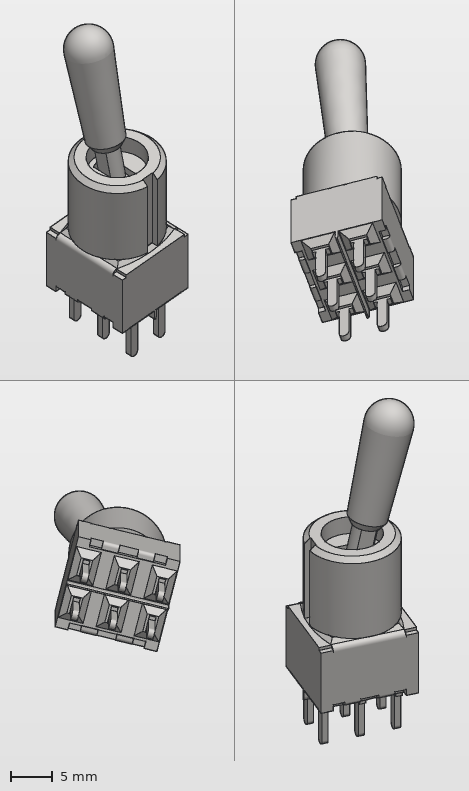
import cadquery as cq
import math

TOTAL_HEIGHT = 44.85

CASE_X = 12.65
CASE_Y = 11.55
CASE_BOTTOM = 6.5
CASE_TOP = 15.48
PANEL_X = 9.45
PANEL_BOTTOM = 7.35
PANEL_TOP_RADIUS = 0.67
RECESS_DEPTH = 0.9
CORNER_STEP_DEPTH = 0.4
CORNER_STEP_Y = 0.67

TAB_X = 2.05
TAB_PITCH = 4.4
TAB_BOTTOM = 6.77
TAB_RADIUS = 0.45

SEAT_CORNER_X = 4.75
SEAT_CORNER_Y = 5.0
SEAT_BULGE_X = 5.55
SEAT_HEIGHT = 0.6
SEAT_TAPER = 45

BUSHING_DIAMETER = 11.85
BUSHING_BOTTOM = CASE_TOP + SEAT_HEIGHT
BUSHING_TOP = 27.3
BUSHING_CHAMFER_HEIGHT = 0.65
BUSHING_CHAMFER_WIDTH = 0.7
BORE_DIAMETER = 7.5
BORE_DEPTH = 2.4
KEYWAY_WIDTH = 1.7
KEYWAY_FLOOR_X = 5.02
SLOT_WIDTH = 2.6
SLOT_LENGTH = 6.05

LEVER_TILT = 12.5
BALL_RADIUS = 3.8
NECK_RADIUS = 1.55
NECK_FLATS = 2.42
KNOB_START = 8.07
KNOB_BEVEL_LENGTH = 1.0
KNOB_BEVEL = 0.65
KNOB_LOW_RADIUS = 2.5
DOME_RADIUS = 3.05
DOME_CENTER = 21.95
PIVOT_Z = TOTAL_HEIGHT - DOME_RADIUS - DOME_CENTER * math.cos(math.radians(LEVER_TILT))

PIN_PITCH_X = 4.7
PIN_PITCH_Y = 4.8
PIN_X = 0.8
PIN_Y = 1.2
SHOULDER_Y = 2.15
SHOULDER_BOTTOM = 5.1
CONE_BOTTOM = 5.55
CONE_TOP_X = 3.1
CONE_TOP_Y = 4.25
CONE_LOW_X = 1.45
CONE_LOW_Y = 2.25

FIN_THICKNESS = 0.35
FIN_BOTTOM = 5.1
FIN_BEVEL_HEIGHT = 0.3
FIN_BEVEL = 0.1


def block(size_x, size_y, bottom, top, center_x=0, center_y=0):
    """Upright box between two heights, centred on a point in plan."""
    height = top - bottom
    box = cq.Workplane("XY").box(size_x, size_y, height, centered=(True, True, False))
    return box.translate((center_x, center_y, bottom))


def case():
    body = block(PANEL_X, CASE_Y, CASE_BOTTOM, CASE_TOP).edges("|X and >Z").fillet(PANEL_TOP_RADIUS)
    end_x = (CASE_X - PANEL_X) / 2
    step_z = CASE_TOP - CORNER_STEP_DEPTH
    for side in (-1, 1):
        center_x = side * (PANEL_X + end_x) / 2
        body = body.union(block(end_x, CASE_Y, CASE_BOTTOM, step_z, center_x))
        body = body.union(block(end_x, CASE_Y - 2 * CORNER_STEP_Y, step_z, CASE_TOP, center_x))
    for side in (-1, 1):
        recess_y = side * (CASE_Y - RECESS_DEPTH) / 2
        body = body.cut(block(PANEL_X, RECESS_DEPTH, CASE_BOTTOM, PANEL_BOTTOM, 0, recess_y))
    for side in (-1, 1):
        for tab_side in (-1, 1):
            body = body.union(folded_tab(tab_side * TAB_PITCH / 2, side))
    return body


def folded_tab(center_x, side):
    """Tab under a side panel, rounded where it folds inward."""
    center_y = side * (CASE_Y - RECESS_DEPTH) / 2
    tab = block(TAB_X, RECESS_DEPTH, TAB_BOTTOM, PANEL_BOTTOM, center_x, center_y)
    outer_face = ">Y" if side > 0 else "<Y"
    return tab.faces(outer_face).edges("<Z").fillet(TAB_RADIUS)


def seat():
    return (
        cq.Workplane("XY", origin=(0, 0, CASE_TOP))
        .moveTo(-SEAT_CORNER_X, -SEAT_CORNER_Y)
        .lineTo(SEAT_CORNER_X, -SEAT_CORNER_Y)
        .threePointArc((SEAT_BULGE_X, 0), (SEAT_CORNER_X, SEAT_CORNER_Y))
        .lineTo(-SEAT_CORNER_X, SEAT_CORNER_Y)
        .threePointArc((-SEAT_BULGE_X, 0), (-SEAT_CORNER_X, -SEAT_CORNER_Y))
        .close()
        .extrude(SEAT_HEIGHT, taper=SEAT_TAPER)
    )


def bushing():
    radius = BUSHING_DIAMETER / 2
    barrel = (
        cq.Workplane("XZ")
        .moveTo(0, BUSHING_BOTTOM)
        .lineTo(radius, BUSHING_BOTTOM)
        .lineTo(radius, BUSHING_TOP - BUSHING_CHAMFER_HEIGHT)
        .lineTo(radius - BUSHING_CHAMFER_WIDTH, BUSHING_TOP)
        .lineTo(0, BUSHING_TOP)
        .close()
        .revolve(360, (0, 0, 0), (0, 1, 0))
    )
    top = cq.Workplane("XY", origin=(0, 0, BUSHING_TOP))
    bore = top.circle(BORE_DIAMETER / 2).extrude(-BORE_DEPTH)
    slot = (
        top.circle(SLOT_LENGTH / 2)
        .extrude(PIVOT_Z - BUSHING_TOP)
        .intersect(block(SLOT_LENGTH, SLOT_WIDTH, PIVOT_Z, BUSHING_TOP))
    )
    keyway_depth = radius - KEYWAY_FLOOR_X
    keyway_x = KEYWAY_FLOOR_X + keyway_depth / 2
    keyway = block(keyway_depth, KEYWAY_WIDTH, BUSHING_BOTTOM, BUSHING_TOP, keyway_x)
    return barrel.cut(bore).cut(slot).cut(keyway)


def lever():
    ball = cq.Workplane("XY").sphere(BALL_RADIUS)
    neck = (
        cq.Workplane("XY")
        .circle(NECK_RADIUS)
        .extrude(KNOB_START + KNOB_BEVEL_LENGTH)
        .intersect(block(2 * NECK_RADIUS, NECK_FLATS, 0, KNOB_START + KNOB_BEVEL_LENGTH))
    )
    grip_start = KNOB_START + KNOB_BEVEL_LENGTH
    grip_to_center = DOME_CENTER - grip_start
    center_distance = math.hypot(KNOB_LOW_RADIUS, grip_to_center)
    taper = math.atan2(grip_to_center, KNOB_LOW_RADIUS) - math.acos(DOME_RADIUS / center_distance)
    seam = (DOME_RADIUS * math.cos(taper), DOME_CENTER - DOME_RADIUS * math.sin(taper))
    dome_mid = DOME_RADIUS * math.sqrt(0.5)
    knob = (
        cq.Workplane("XZ")
        .moveTo(0, KNOB_START)
        .lineTo(KNOB_LOW_RADIUS - KNOB_BEVEL, KNOB_START)
        .lineTo(KNOB_LOW_RADIUS, grip_start)
        .lineTo(*seam)
        .threePointArc((dome_mid, DOME_CENTER + dome_mid), (0, DOME_CENTER + DOME_RADIUS))
        .close()
        .revolve(360, (0, 0, 0), (0, 1, 0))
    )
    upright = ball.union(neck).union(knob)
    return upright.rotate((0, 0, 0), (0, 1, 0), -LEVER_TILT).translate((0, 0, PIVOT_Z))


def pin():
    """One pin on the Z axis: sealing cone, shoulder and blade with a round tip."""
    cone = (
        cq.Workplane("XY", origin=(0, 0, CONE_BOTTOM))
        .rect(CONE_LOW_X, CONE_LOW_Y)
        .workplane(offset=CASE_BOTTOM - CONE_BOTTOM)
        .rect(CONE_TOP_X, CONE_TOP_Y)
        .loft()
    )
    shoulder = block(PIN_X, SHOULDER_Y, SHOULDER_BOTTOM, CONE_BOTTOM)
    tip_radius = PIN_Y / 2
    blade = block(PIN_X, PIN_Y, tip_radius, CONE_BOTTOM)
    tip = cq.Workplane("YZ").center(0, tip_radius).circle(tip_radius).extrude(PIN_X / 2, both=True)
    return cone.union(shoulder).union(blade).union(tip)


def divider_fin():
    half = FIN_THICKNESS / 2
    bevel_top = FIN_BOTTOM + FIN_BEVEL_HEIGHT
    outline = [
        (-half, CASE_BOTTOM),
        (-half, bevel_top),
        (FIN_BEVEL - half, FIN_BOTTOM),
        (half - FIN_BEVEL, FIN_BOTTOM),
        (half, bevel_top),
        (half, CASE_BOTTOM),
    ]
    return cq.Workplane("YZ").polyline(outline).close().extrude(CASE_X / 2, both=True)


result = case().union(seat()).union(bushing()).union(lever()).union(divider_fin())
for column in (-1, 0, 1):
    for row in (-0.5, 0.5):
        result = result.union(pin().translate((column * PIN_PITCH_X, row * PIN_PITCH_Y, 0)))